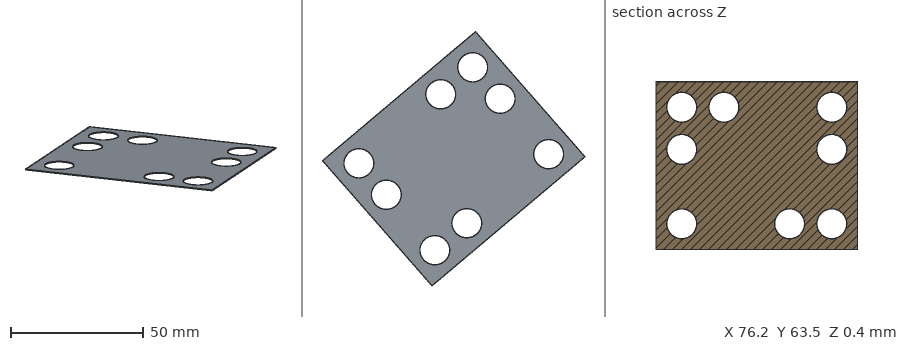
import cadquery as cq

length = 76.2
width = 63.5
thickness = 0.4

hole_diameter = 11.2
corner_x = 28.35
corner_y = 22.0
hole_pitch = 15.9

corner_holes = [(sx * corner_x, sy * corner_y) for sx in (-1, 1) for sy in (-1, 1)]
neighbour_holes = [
    (-corner_x + hole_pitch, corner_y),
    (corner_x - hole_pitch, -corner_y),
    (-corner_x, corner_y - hole_pitch),
    (corner_x, corner_y - hole_pitch),
]

plate = cq.Workplane("XY").box(length, width, thickness)
result = (
    plate.faces(">Z")
    .workplane()
    .pushPoints(corner_holes + neighbour_holes)
    .hole(hole_diameter)
)